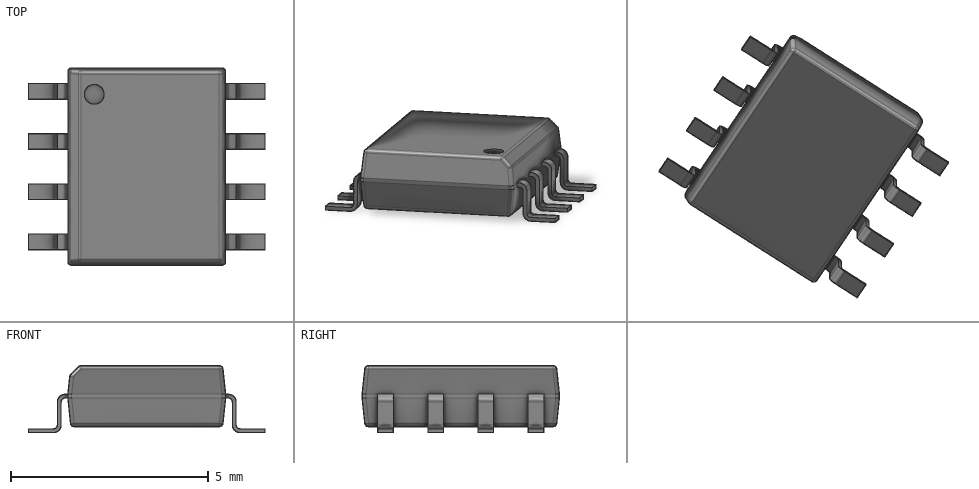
import cadquery as cq
import math

body_length_x = 4.0
body_length_y = 5.0
total_height = 1.7
standoff = 0.15
draft_angle = 6.0
edge_radius = 0.1

bevel_drop = 0.25
bevel_top_leg = bevel_drop * (1 - math.tan(math.radians(draft_angle)))
bevel_side_leg = bevel_drop / math.cos(math.radians(draft_angle))

mark_diameter = 0.5
mark_depth = 0.1
mark_edge_distance = 0.67
mark_x = -body_length_x / 2 + mark_edge_distance
mark_y = body_length_y / 2 - mark_edge_distance

span_x = 6.0
lead_thickness = 0.1
lead_width = 0.4
lead_pitch = 1.27
leads_per_side = 4
foot_length = 0.785
bend_radius = 0.15

band_height = lead_thickness
half_height = (total_height - standoff - band_height) / 2
band_bottom = standoff + half_height
band_top = band_bottom + band_height


def make_body():
    """Band and drafted halves, each rounded on all but the outlines where they meet."""
    def band_outline(z):
        return cq.Workplane("XY", origin=(0, 0, z)).rect(body_length_x, body_length_y)

    upper_half = (
        band_outline(band_top)
        .extrude(half_height, taper=draft_angle)
        .faces(">Z")
        .edges("<X")
        .chamfer(bevel_side_leg, bevel_top_leg)
        .edges("not(<Z)")
        .fillet(edge_radius)
    )
    band = band_outline(band_bottom).extrude(band_height).edges("|Z").fillet(edge_radius)
    lower_half = (
        band_outline(band_bottom)
        .extrude(-half_height, taper=draft_angle)
        .edges("not(>Z)")
        .fillet(edge_radius)
    )
    rounded = band.union(upper_half).union(lower_half)

    mark = (
        cq.Workplane("XY", origin=(mark_x, mark_y, total_height))
        .circle(mark_diameter / 2)
        .extrude(-mark_depth)
    )
    return rounded.cut(mark)


def make_left_lead():
    """Lead on the -X side, centred on Y = 0, ending flush against the body's band."""
    toe_x = -span_x / 2
    body_face_x = -body_length_x / 2
    wall_x = toe_x + foot_length
    foot_z = lead_thickness / 2
    shoulder_z = band_bottom + lead_thickness / 2
    corner_offset = bend_radius * (1 - math.sqrt(0.5))

    centreline = (
        cq.Workplane("XZ")
        .moveTo(toe_x, foot_z)
        .lineTo(wall_x - bend_radius, foot_z)
        .threePointArc(
            (wall_x - corner_offset, foot_z + corner_offset),
            (wall_x, foot_z + bend_radius),
        )
        .lineTo(wall_x, shoulder_z - bend_radius)
        .threePointArc(
            (wall_x + corner_offset, shoulder_z - corner_offset),
            (wall_x + bend_radius, shoulder_z),
        )
        .lineTo(body_face_x, shoulder_z)
    )
    section = cq.Workplane("YZ", origin=(toe_x, 0, foot_z)).rect(lead_width, lead_thickness)
    return section.sweep(centreline)


def make_leads():
    left_lead = make_left_lead()
    right_lead = left_lead.mirror("YZ")
    leads = []
    for index in range(leads_per_side):
        y = (index - (leads_per_side - 1) / 2) * lead_pitch
        for lead in (left_lead, right_lead):
            leads.append(lead.translate((0, y, 0)).val())
    return leads


body = make_body()
result = cq.Compound.makeCompound([body.solids().val(), *make_leads()])